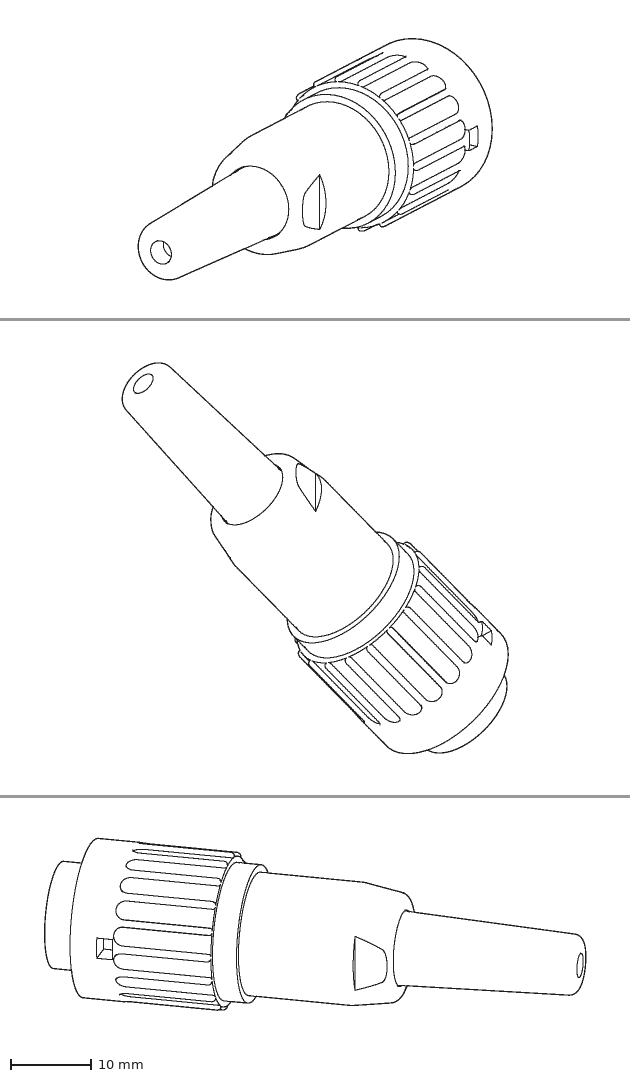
import cadquery as cq
import math

length = 67.4

spigot_d = 13.5
spigot_length = 4.2
collar_d = 20.0
collar_front = 45.15
collar_back = length - spigot_length

ring_d = 17.4
ring_front = 42.05
body_d = 15.5
body_front = 28.7

nose_d = 13.6
nose_face = 22.85
nose_rounding = 1.15
nose_flat_distance = 6.6
nose_flat_back = 27.3

tail_socket_d = 9.6
tail_socket_depth = 0.7
tail_base_d = 9.4
tail_tip_d = 7.6
tail_rounding = 1.15
cable_hole_d = 3.0
cable_hole_depth = 3.0

slot_count = 18
slot_width = 2.4
slot_depth = 0.55
slot_back = 57.75
rib_rounding = 0.3
rim_rounding = 0.5

window_width = 2.7
window_front = 57.75
window_back = 59.8
window_floor_d = spigot_d

tolerance = 0.01


def make_turned_body():
    """Revolve the stepped outline, from the tail tip to the spigot end, about Y."""
    socket_floor = nose_face + tail_socket_depth
    profile = (
        cq.Workplane("XY")
        .lineTo(tail_tip_d / 2, 0)
        .lineTo(tail_base_d / 2, socket_floor)
        .lineTo(tail_socket_d / 2, socket_floor)
        .lineTo(tail_socket_d / 2, nose_face)
        .lineTo(nose_d / 2, nose_face)
        .lineTo(body_d / 2, body_front)
        .lineTo(body_d / 2, ring_front)
        .lineTo(ring_d / 2, ring_front)
        .lineTo(ring_d / 2, collar_front)
        .lineTo(collar_d / 2, collar_front)
        .lineTo(collar_d / 2, collar_back)
        .lineTo(spigot_d / 2, collar_back)
        .lineTo(spigot_d / 2, length)
        .lineTo(0, length)
        .close()
    )
    return profile.revolve(360, (0, 0, 0), (0, 1, 0))


def round_circle(body, y, diameter, radius):
    """Round the circular edge of the given diameter at the given place along Y."""
    edges = [
        edge
        for edge in body.edges("%CIRCLE").vals()
        if abs(edge.startPoint().y - y) < tolerance
        and abs(edge.endPoint().y - y) < tolerance
        and abs(edge.radius() - diameter / 2) < tolerance
    ]
    return body.newObject(edges).fillet(radius)


def make_cable_hole():
    """Blind hole in the tail tip."""
    return cq.Workplane("XZ").circle(cable_hole_d / 2).extrude(-cable_hole_depth)


def make_nose_flat(side):
    """Wrench flat on the nose; side is +1 or -1 along X."""
    flat_thickness = body_d / 2
    flat_length = nose_flat_back - nose_face
    return cq.Workplane("XY").box(flat_thickness, flat_length, body_d).translate(
        (side * (nose_flat_distance + flat_thickness / 2), nose_face + flat_length / 2, 0)
    )


def make_window(side):
    """Rectangular collar window that ends on a round floor; side is +1 or -1 along X."""
    window_length = window_back - window_front
    block = cq.Workplane("XY").box(collar_d / 2, window_length, window_width)
    block = block.translate((side * collar_d / 2, 0, 0))
    core = cq.Workplane("XZ").circle(window_floor_d / 2).extrude(window_length, both=True)
    return block.cut(core).translate((0, window_front + window_length / 2, 0))


def make_slot():
    """Round-ended grip slot on the +Z side, with a round floor, open at the collar front."""
    floor_radius = collar_d / 2 - slot_depth
    half_width = slot_width / 2
    arc_centre = slot_back - half_width
    tool = (
        cq.Workplane("XY")
        .moveTo(-half_width, collar_front)
        .lineTo(-half_width, arc_centre)
        .threePointArc((0, slot_back), (half_width, arc_centre))
        .lineTo(half_width, collar_front)
        .close()
        .extrude(collar_d)
    )
    core = cq.Workplane("XZ").circle(floor_radius).extrude(-length)
    return tool.cut(core)


def is_slot_rim(edge):
    """True for the outer edges of the slots, where they break through the collar surface."""
    points = (edge.startPoint(), edge.positionAt(0.5), edge.endPoint())
    on_surface = all(
        abs(math.hypot(point.x, point.z) - collar_d / 2) < tolerance for point in points
    )
    within_slot_length = all(
        collar_front < point.y < slot_back + tolerance for point in points
    )
    return on_surface and within_slot_length


result = make_turned_body()
result = round_circle(result, 0, tail_tip_d, tail_rounding)
result = round_circle(result, nose_face, nose_d, nose_rounding)
result = round_circle(result, collar_front, collar_d, rim_rounding)
result = result.cut(make_cable_hole())

slot = make_slot()
for index in range(slot_count):
    result = result.cut(slot.rotate((0, 0, 0), (0, 1, 0), index * 360 / slot_count))

slot_rims = [edge for edge in result.edges().vals() if is_slot_rim(edge)]
result = result.newObject(slot_rims).fillet(rib_rounding)

for side in (-1, 1):
    result = result.cut(make_nose_flat(side)).cut(make_window(side))